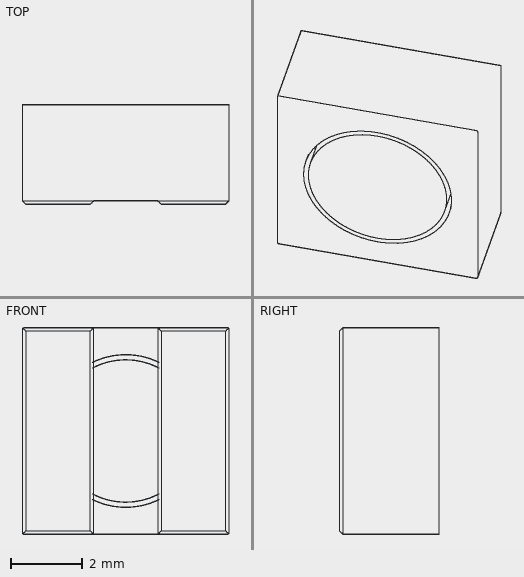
import cadquery as cq

side = 5.8
total_depth = 2.8
pad_thickness = 0.1
body_depth = total_depth - pad_thickness
corner_radius = 0.05

pad_width = 2.0
pad_taper = 0.1
pad_offset = (side - pad_width) / 2

gap_outer_diameter = 4.28
core_diameter = 4.0

back_y = total_depth / 2
seat_y = back_y - body_depth


def make_rounded_block(depth):
    """Square block with rounded corner edges, reaching forward from the back face."""
    return (
        cq.Workplane("XZ", origin=(0, back_y, 0))
        .rect(side, side)
        .extrude(depth)
        .edges("|Y")
        .fillet(corner_radius)
    )


def make_body():
    """Rounded block with an annular gap through it."""
    gap = (
        cq.Workplane("XZ", origin=(0, back_y, 0))
        .circle(gap_outer_diameter / 2)
        .circle(core_diameter / 2)
        .extrude(body_depth)
    )
    return make_rounded_block(body_depth).cut(gap)


def make_pad(center_x):
    """Full-height pad whose four sides slope at 45 degrees to its outer face."""
    return (
        cq.Workplane("XZ", origin=(center_x, seat_y, 0))
        .rect(pad_width, side)
        .workplane(offset=pad_thickness)
        .rect(pad_width - 2 * pad_taper, side - 2 * pad_taper)
        .loft(ruled=True)
    )


result = make_body()
for direction in (-1, 1):
    result = result.union(make_pad(direction * pad_offset))

result = result.intersect(make_rounded_block(total_depth))